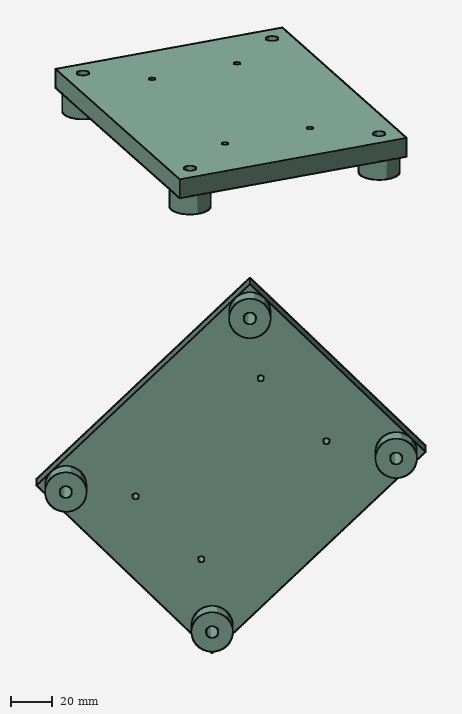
import cadquery as cq

plate_length = 145.0
plate_width = 120.0
plate_thickness = 10.0

foot_diameter = 20.0
foot_height = 10.0
foot_spacing_x = plate_length - foot_diameter
foot_spacing_y = plate_width - foot_diameter
foot_hole_diameter = 6.0

mount_hole_diameter = 3.0
mount_spacing_x = 85.0
mount_spacing_y = 45.0


def corner_cylinders(spacing_x, spacing_y, diameter, bottom, height):
    """Four upright cylinders on the corners of a centred rectangle."""
    return (
        cq.Workplane("XY", origin=(0, 0, bottom))
        .rect(spacing_x, spacing_y, forConstruction=True)
        .vertices()
        .circle(diameter / 2)
        .extrude(height)
    )


plate = cq.Workplane("XY").box(
    plate_length, plate_width, plate_thickness, centered=(True, True, False)
)
feet = corner_cylinders(foot_spacing_x, foot_spacing_y, foot_diameter, -foot_height, foot_height)

foot_holes = corner_cylinders(
    foot_spacing_x, foot_spacing_y, foot_hole_diameter, -foot_height, foot_height + plate_thickness
)
mount_holes = corner_cylinders(
    mount_spacing_x, mount_spacing_y, mount_hole_diameter, 0, plate_thickness
)

result = plate.union(feet).cut(foot_holes).cut(mount_holes)